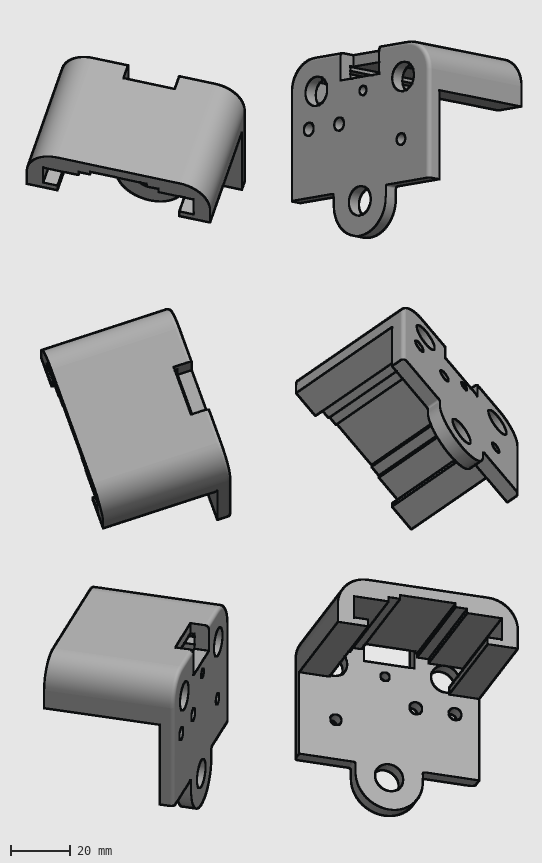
import cadquery as cq

width = 64.0
depth = 45.7
height = 63.95
half_width = width / 2

plate_thickness = 5.05
plate_height = 48.0
plate_bottom = height - plate_height
plate_front = depth - plate_thickness
corner_radius = 10.6
back_edge_radius = 1.4
lug_radius = 12.0
lug_root_radius = 0.8

deck_height = 17.5
deck_bottom = height - deck_height
lip_thickness = 2.55
lip_half_gap = 21.25
channel_half_width = 26.25
channel_roof = height - 7.0
wide_step_half_width = 13.95
wide_step_roof = height - 5.4
narrow_step_half_width = 9.85
narrow_step_roof = height - 4.0

notch_width = 17.85
notch_length = 6.45
notch_depth = 9.6

large_hole_diameter = 10.0
large_hole_offset = 19.9
large_hole_z = height - 11.9
small_holes = [
    (-1.5, height - 14.35, 3.2),
    (9.5, height - 24.45, 4.5),
    (23.4, height - 24.45, 4.5),
    (-18.95, height - 33.2, 4.0),
]


def block(half_x, y_start, y_end, z_low, z_high):
    """Box symmetric about X = 0."""
    box = cq.Workplane("XY").box(2 * half_x, y_end - y_start, z_high - z_low, centered=(True, False, False))
    return box.translate((0, y_start, z_low))


def plate_rod(x, z, diameter):
    """Cylinder along Y, as long as the plate is thick."""
    rod = cq.Workplane("XZ").center(x, z).circle(diameter / 2).extrude(-plate_thickness)
    return rod.translate((0, plate_front, 0))


def make_body():
    """L-shaped body with rounded top sides and a rounded back rim."""
    body = block(half_width, 0, depth, plate_bottom, height)
    body = body.edges("|Y and >Z").fillet(corner_radius)
    rim = body.faces(">Y").edges("not <Z")
    body = rim.fillet(back_edge_radius)
    return body.cut(block(half_width, 0, plate_front, plate_bottom, deck_bottom))


def make_channel():
    """Space between the lips and below the stepped deck roof."""
    lip_top = deck_bottom + lip_thickness
    channel = block(lip_half_gap, 0, plate_front, deck_bottom, channel_roof)
    channel = channel.union(block(channel_half_width, 0, plate_front, lip_top, channel_roof))
    channel = channel.union(block(wide_step_half_width, 0, plate_front, lip_top, wide_step_roof))
    return channel.union(block(narrow_step_half_width, 0, plate_front, lip_top, narrow_step_roof))


def add_lug(body):
    """Round-ended lug hanging below the plate, with filleted roots."""
    lug = block(lug_radius, plate_front, depth, lug_radius, plate_bottom)
    lug = lug.union(plate_rod(0, lug_radius, 2 * lug_radius))
    body = body.union(lug)
    middle_y = plate_front + plate_thickness / 2
    for side in (-1, 1):
        root = cq.selectors.NearestToPointSelector((side * lug_radius, middle_y, plate_bottom))
        body = body.edges("|Y").edges(root).fillet(lug_root_radius)
    return body


body = add_lug(make_body().cut(make_channel()))
body = body.cut(block(notch_width / 2, depth - notch_length, depth, height - notch_depth, height))

for x in (-large_hole_offset, large_hole_offset):
    body = body.cut(plate_rod(x, large_hole_z, large_hole_diameter))
body = body.cut(plate_rod(0, lug_radius, large_hole_diameter))
for x, z, diameter in small_holes:
    body = body.cut(plate_rod(x, z, diameter))

result = body